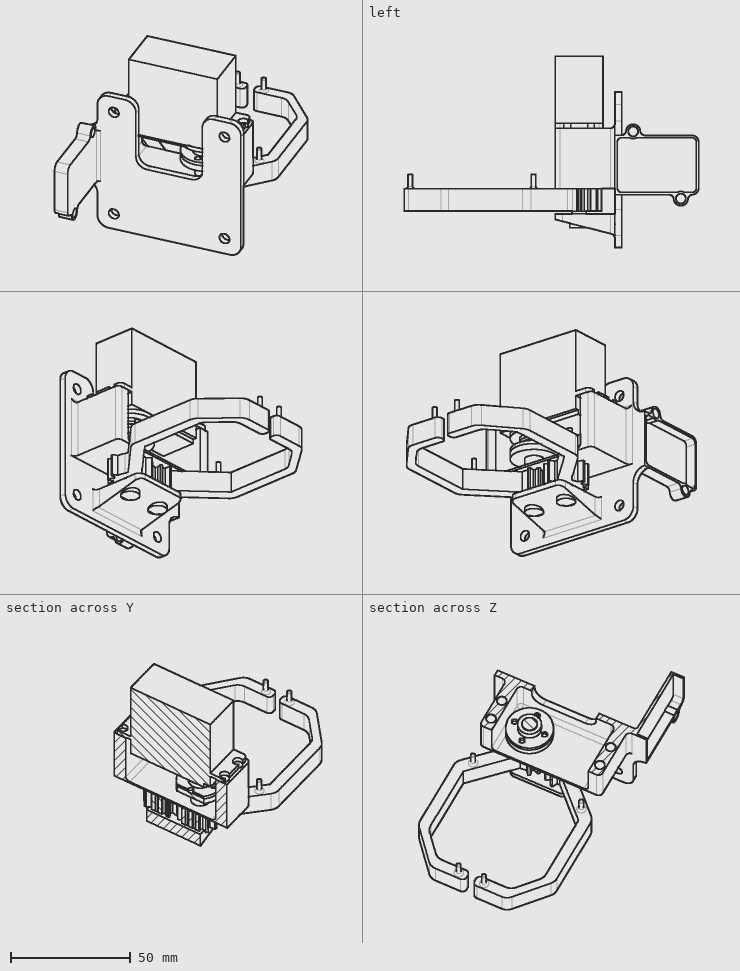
import cadquery as cq


PLATE_SIZE = 65.0
PLATE_THICK = 3.0
PLATE_ROUND = 5.0
NOTCH_WIDTH = 30.0
NOTCH_FLOOR_Z = 33.0
PLATE_HOLE_DIA = 4.5
PLATE_HOLE_PITCH = 50.0

TRAY_THICK = 6.0
TRAY_INNER_X = -PLATE_SIZE / 2
TRAY_OUTER_X = TRAY_INNER_X - TRAY_THICK
TRAY_LENGTH = 35.0
TRAY_BOTTOM_Z = 22.0
TRAY_HEIGHT = 24.8
TRAY_TOP_Z = TRAY_BOTTOM_Z + TRAY_HEIGHT
TRAY_WALL = 1.0
TRAY_FLOOR = 1.5
TRAY_ROUND = 3.0
TRAY_POCKET_ROUND = 2.0
TRAY_JOINT_FILLET = 1.2
EAR_DIA = 6.0
EAR_HOLE_DIA = 4.0
EAR_FILLET = 2.0
EAR_POINTS = [(-7.6, 48.5), (-27.5, 20.4)]

SERVO_CENTER_X = -1.5
HOUSING_WIDTH = 56.8
HOUSING_DEPTH = 25.0
HOUSING_BOTTOM_Z = 24.6
HOUSING_TOP_Z = 49.8
HOUSING_FLOOR = 1.0
HOUSING_FILLET = 2.0
POCKET_WIDTH = 45.0
LEDGE_WIDTH = 27.0
LEDGE_TOP_Z = 14.0
LEDGE_TIP_Z = 11.7
LEDGE_ROOT_Z = 5.3
LEDGE_ROUND = 3.0

SERVO_LENGTH = 40.1
SERVO_WIDTH = 20.0
SERVO_TOP_Z = 80.0
SERVO_BOTTOM_Z = 43.9
FLANGE_LENGTH = 53.9
FLANGE_THICK = 2.1
FLANGE_ROUND = 2.0
SCREW_HOLE_DIA = 4.0
SCREW_PITCH_X = 50.9
SCREW_PITCH_Y = 10.0
SCREW_HOLE_DEPTH = 10.0
GEARBOX_BOTTOM_Z = 42.0
GEARBOX_STEP_WIDTH = 16.7
COLLAR_DIA = 12.0
COLLAR_BOTTOM_Z = 40.3
SPINDLE_DIA = 6.5

HORN_DIA = 20.0
HORN_HUB_DIA = 10.0
HORN_HUB_TOP_Z = 39.7
HORN_TOP_Z = 36.8
HORN_BOTTOM_Z = 35.3
HORN_HOLE_COUNT = 4
HORN_HOLE_DIA = 2.5
HORN_HOLE_RADIUS = 7.0

ARM_BOTTOM_Z = 15.3
ARM_TOP_Z = HOUSING_BOTTOM_Z
ARM_TIP_Y = 88.0
ARM_TIP_X = 1.8
ARM_OUTER_X = 32.0
ARM_WIDTH = 5.0
ARM_INNER_X = ARM_OUTER_X - ARM_WIDTH
ARM_INNER_TIP_Y = ARM_TIP_Y - ARM_WIDTH
ARM_ROUND = 5.0
ARM_TIP_ROUND = 2.0
ARM_ROOT_FILLET = 2.0
SHOULDER_OUTER_X = 17.8
SHOULDER_OUTER_Y = 71.3
SHOULDER_INNER_X = 17.2
SHOULDER_INNER_Y = 71.6
ELBOW_OUTER_Y = 36.5
ELBOW_INNER_Y = 39.6
TOOTH_PITCH_ANGLE = 360 / 14
LEFT_TOOTH_COUNT = 11
RIGHT_TOOTH_COUNT = 10
GEAR_TIP_RADIUS = 9.5
GEAR_ROOT_RADIUS = 7.1
TOOTH_HALF_AT_TIP = 0.5
TOOTH_HALF_AT_ROOT = 1.1
PIVOT_X = 8.5
PIVOT_Y = 14.9
SOCKET_DEPTH = 3.7

POST_DIA = 2.0
POST_HEIGHT = 6.0
POST_FILLET = 1.0
POST_TIP_ROUND = 0.4
POST_POINTS = [(5.9, ARM_TIP_Y - ARM_WIDTH / 2), (25.3, 34.0)]

PIN_DIA = 6.0
PIN_HEAD_DIA = 8.0
PIN_HEAD_BOTTOM_Z = 8.2
PIN_HEAD_TOP_Z = 11.1
PIN_TOP_Z = ARM_BOTTOM_Z + SOCKET_DEPTH

COUPLER_DISC_BOTTOM_Z = 32.6
COUPLER_HUB_DIA = 8.0
COUPLER_BOTTOM_Z = ARM_TOP_Z - SOCKET_DEPTH


def cylinder(x, y, bottom, top, diameter):
    return cq.Workplane("XY", origin=(x, y, bottom)).circle(diameter / 2).extrude(top - bottom)


def slab(x_low, x_high, y_low, y_high, z_low, z_high):
    size = (x_high - x_low, y_high - y_low, z_high - z_low)
    return cq.Workplane("XY", origin=(x_low, y_low, z_low)).box(*size, centered=False)


def edges_near(solid, points):
    """Workplane that holds, for each point, the edge of the solid whose middle is nearest to it."""
    edges = [solid.edges(cq.selectors.NearestToPointSelector(point)).val() for point in points]
    return solid.newObject(edges)


def servo_screw_points():
    return [
        (SERVO_CENTER_X + x_side * SCREW_PITCH_X / 2, PIVOT_Y + y_side * SCREW_PITCH_Y / 2)
        for x_side in (-1, 1)
        for y_side in (-1, 1)
    ]


def mounting_plate():
    half = PLATE_SIZE / 2
    plate = slab(-half, half, -PLATE_THICK, 0, 0, PLATE_SIZE)
    notch = slab(-NOTCH_WIDTH / 2, NOTCH_WIDTH / 2, -PLATE_THICK, 0, NOTCH_FLOOR_Z, PLATE_SIZE)
    return plate.cut(notch).edges("|Y").fillet(PLATE_ROUND)


def tray_root():
    """Strip that widens the plate to the tray's outer face, with a concave sweep at each end."""
    sweep = TRAY_THICK
    overlap_x = TRAY_INNER_X + PLATE_ROUND
    return (
        cq.Workplane("XZ")
        .moveTo(TRAY_INNER_X, TRAY_BOTTOM_Z - sweep)
        .radiusArc((TRAY_OUTER_X, TRAY_BOTTOM_Z), -sweep)
        .lineTo(TRAY_OUTER_X, TRAY_TOP_Z)
        .radiusArc((TRAY_INNER_X, TRAY_TOP_Z + sweep), -sweep)
        .lineTo(overlap_x, TRAY_TOP_Z + sweep)
        .lineTo(overlap_x, TRAY_BOTTOM_Z - sweep)
        .close()
        .extrude(PLATE_THICK)
    )


def tray_cylinder(y, z, diameter):
    return cq.Workplane("YZ", origin=(TRAY_OUTER_X, y, z)).circle(diameter / 2).extrude(TRAY_THICK)


def tray_shell():
    body = slab(TRAY_OUTER_X, TRAY_INNER_X, -TRAY_LENGTH, 0, TRAY_BOTTOM_Z, TRAY_TOP_Z)
    body = body.edges("|X and <Y").fillet(TRAY_ROUND)
    reach = EAR_DIA / 2 + TRAY_WALL
    for y, z in EAR_POINTS:
        body = body.union(tray_cylinder(y, z, EAR_DIA))
        around_ear = cq.selectors.BoxSelector(
            (TRAY_OUTER_X, y - reach, z - reach),
            (TRAY_INNER_X, y + reach, z + reach),
        )
        body = body.edges("|X").edges(around_ear).fillet(EAR_FILLET)
    return body


def tray_pocket():
    """Space inside the tray, which goes around the ears and opens toward -X."""
    pocket = slab(
        TRAY_OUTER_X,
        TRAY_INNER_X - TRAY_FLOOR,
        TRAY_WALL - TRAY_LENGTH,
        -TRAY_WALL,
        TRAY_BOTTOM_Z + TRAY_WALL,
        TRAY_TOP_Z - TRAY_WALL,
    )
    pocket = pocket.edges("|X").fillet(TRAY_POCKET_ROUND)
    for y, z in EAR_POINTS:
        pocket = pocket.cut(tray_cylinder(y, z, EAR_DIA))
    return pocket


def add_tray(plate):
    body = plate.union(tray_root()).union(tray_shell())
    inner_corner = (TRAY_INNER_X, -PLATE_THICK, (TRAY_BOTTOM_Z + TRAY_TOP_Z) / 2)
    body = edges_near(body, [inner_corner]).fillet(TRAY_JOINT_FILLET)
    body = body.cut(tray_pocket())
    for y, z in EAR_POINTS:
        body = body.cut(tray_cylinder(y, z, EAR_HOLE_DIA))
    return body


def servo_housing():
    left = SERVO_CENTER_X - HOUSING_WIDTH / 2
    pocket_left = SERVO_CENTER_X - POCKET_WIDTH / 2
    block = slab(left, left + HOUSING_WIDTH, 0, HOUSING_DEPTH, HOUSING_BOTTOM_Z, HOUSING_TOP_Z)
    block = block.edges("|Z and >Y").fillet(HOUSING_FILLET)
    pocket = slab(
        pocket_left,
        pocket_left + POCKET_WIDTH,
        0,
        HOUSING_DEPTH,
        HOUSING_BOTTOM_Z + HOUSING_FLOOR,
        HOUSING_TOP_Z,
    )
    return block.cut(pocket.edges("|Y and <Z").fillet(HOUSING_FILLET))


def ledge():
    profile = [
        (0, LEDGE_TOP_Z),
        (HOUSING_DEPTH, LEDGE_TOP_Z),
        (HOUSING_DEPTH, LEDGE_TIP_Z),
        (0, LEDGE_ROOT_Z),
    ]
    shelf = cq.Workplane("YZ").polyline(profile).close().extrude(LEDGE_WIDTH / 2, both=True)
    return shelf.edges("|Z and >Y").fillet(LEDGE_ROUND)


def joint_edge_points():
    """A point on each edge where the housing and the ledge meet the back of the plate."""
    housing_mid_z = (HOUSING_BOTTOM_Z + HOUSING_TOP_Z) / 2
    wall_middle = (HOUSING_WIDTH + POCKET_WIDTH) / 4
    points = [(SERVO_CENTER_X, 0, HOUSING_BOTTOM_Z + HOUSING_FLOOR), (0, 0, LEDGE_ROOT_Z)]
    for side in (-1, 1):
        points += [
            (SERVO_CENTER_X + side * HOUSING_WIDTH / 2, 0, housing_mid_z),
            (SERVO_CENTER_X + side * POCKET_WIDTH / 2, 0, housing_mid_z),
            (SERVO_CENTER_X + side * wall_middle, 0, HOUSING_TOP_Z),
            (side * LEDGE_WIDTH / 2, 0, (LEDGE_TOP_Z + LEDGE_ROOT_Z) / 2),
        ]
    return points


def plate_holes():
    return (
        cq.Workplane("XZ", origin=(0, 0, PLATE_SIZE / 2))
        .rect(PLATE_HOLE_PITCH, PLATE_HOLE_PITCH, forConstruction=True)
        .vertices()
        .circle(PLATE_HOLE_DIA / 2)
        .extrude(PLATE_THICK)
    )


def make_bracket():
    body = mounting_plate().union(servo_housing()).union(ledge())
    body = edges_near(body, joint_edge_points()).fillet(HOUSING_FILLET)
    body = add_tray(body)
    for pin in pivot_pins():
        body = body.cut(pin)
    body = body.cut(cylinder(PIVOT_X, PIVOT_Y, HOUSING_BOTTOM_Z, NOTCH_FLOOR_Z, COUPLER_HUB_DIA))
    screw_hole_bottom = HOUSING_TOP_Z - SCREW_HOLE_DEPTH
    for x, y in servo_screw_points():
        body = body.cut(cylinder(x, y, screw_hole_bottom, HOUSING_TOP_Z, SCREW_HOLE_DIA))
    return body.cut(plate_holes())


def make_servo():
    left = SERVO_CENTER_X - SERVO_LENGTH / 2
    front = PIVOT_Y - SERVO_WIDTH / 2
    back = PIVOT_Y + SERVO_WIDTH / 2
    body = slab(left, left + SERVO_LENGTH, front, back, SERVO_BOTTOM_Z, SERVO_TOP_Z)
    flange_left = SERVO_CENTER_X - FLANGE_LENGTH / 2
    flange_top = HOUSING_TOP_Z + FLANGE_THICK
    flange = slab(flange_left, flange_left + FLANGE_LENGTH, front, back, HOUSING_TOP_Z, flange_top)
    body = body.union(flange.edges("|Z").fillet(FLANGE_ROUND))
    for x, y in servo_screw_points():
        body = body.cut(cylinder(x, y, HOUSING_TOP_Z, flange_top, SCREW_HOLE_DIA))
    step = GEARBOX_STEP_WIDTH / 2
    body = body.union(
        slab(left, PIVOT_X, PIVOT_Y - step, PIVOT_Y + step, GEARBOX_BOTTOM_Z, SERVO_BOTTOM_Z)
    )
    body = body.union(cylinder(PIVOT_X, PIVOT_Y, GEARBOX_BOTTOM_Z, SERVO_BOTTOM_Z, SERVO_WIDTH))
    body = body.union(cylinder(PIVOT_X, PIVOT_Y, COLLAR_BOTTOM_Z, GEARBOX_BOTTOM_Z, COLLAR_DIA))
    return body.union(cylinder(PIVOT_X, PIVOT_Y, HORN_HUB_TOP_Z, COLLAR_BOTTOM_Z, SPINDLE_DIA))


def make_horn():
    horn = cylinder(PIVOT_X, PIVOT_Y, HORN_BOTTOM_Z, HORN_TOP_Z, HORN_DIA)
    horn = horn.union(cylinder(PIVOT_X, PIVOT_Y, HORN_TOP_Z, HORN_HUB_TOP_Z, HORN_HUB_DIA))
    holes = (
        cq.Workplane("XY", origin=(PIVOT_X, PIVOT_Y, HORN_BOTTOM_Z))
        .polarArray(HORN_HOLE_RADIUS, 0, 360, HORN_HOLE_COUNT)
        .circle(HORN_HOLE_DIA / 2)
        .extrude(HORN_TOP_Z - HORN_BOTTOM_Z)
    )
    return horn.cut(holes)


def make_coupler():
    hub = cylinder(PIVOT_X, PIVOT_Y, COUPLER_BOTTOM_Z, COUPLER_DISC_BOTTOM_Z, COUPLER_HUB_DIA)
    return hub.union(cylinder(PIVOT_X, PIVOT_Y, COUPLER_DISC_BOTTOM_Z, HORN_BOTTOM_Z, HORN_DIA))


def make_pin(x):
    head = cylinder(x, PIVOT_Y, PIN_HEAD_BOTTOM_Z, PIN_HEAD_TOP_Z, PIN_HEAD_DIA)
    return head.union(cylinder(x, PIVOT_Y, PIN_HEAD_TOP_Z, PIN_TOP_Z, PIN_DIA))


def pivot_pins():
    return [make_pin(side * PIVOT_X) for side in (-1, 1)]


def gear_tooth(angle):
    """Tapered tooth of the right gear, at an angle from the +X direction."""
    inside = GEAR_ROOT_RADIUS - TOOTH_HALF_AT_ROOT
    profile = [
        (inside, -TOOTH_HALF_AT_ROOT),
        (GEAR_ROOT_RADIUS, -TOOTH_HALF_AT_ROOT),
        (GEAR_TIP_RADIUS, -TOOTH_HALF_AT_TIP),
        (GEAR_TIP_RADIUS, TOOTH_HALF_AT_TIP),
        (GEAR_ROOT_RADIUS, TOOTH_HALF_AT_ROOT),
        (inside, TOOTH_HALF_AT_ROOT),
    ]
    tooth = cq.Workplane("XY").polyline(profile).close().extrude(ARM_TOP_Z - ARM_BOTTOM_Z)
    return tooth.rotate((0, 0, 0), (0, 0, 1), angle).translate((PIVOT_X, PIVOT_Y, ARM_BOTTOM_Z))


def arm_bar():
    """Bent bar of the right arm, from its tip down to the gear, with a 45 degree lower stretch."""
    inner_tip = (ARM_TIP_X, ARM_INNER_TIP_Y)
    outer_tip = (ARM_TIP_X, ARM_TIP_Y)
    outer_bends = [
        (SHOULDER_OUTER_X, ARM_TIP_Y),
        (ARM_OUTER_X, SHOULDER_OUTER_Y),
        (ARM_OUTER_X, ELBOW_OUTER_Y),
    ]
    outer_root = (ARM_OUTER_X - (ELBOW_OUTER_Y - PIVOT_Y), PIVOT_Y)
    inner_root = (ARM_INNER_X - (ELBOW_INNER_Y - PIVOT_Y), PIVOT_Y)
    inner_elbow = (ARM_INNER_X, ELBOW_INNER_Y)
    inner_bends = [(ARM_INNER_X, SHOULDER_INNER_Y), (SHOULDER_INNER_X, ARM_INNER_TIP_Y)]
    outline = [outer_tip, *outer_bends, outer_root, inner_root, inner_elbow, *inner_bends, inner_tip]
    bar = cq.Workplane("XY", origin=(0, 0, ARM_BOTTOM_Z)).polyline(outline).close()
    bar = bar.extrude(ARM_TOP_Z - ARM_BOTTOM_Z)
    middle_z = (ARM_BOTTOM_Z + ARM_TOP_Z) / 2
    bends = [(x, y, middle_z) for x, y in outer_bends + inner_bends]
    tips = [(x, y, middle_z) for x, y in (inner_tip, outer_tip)]
    bar = edges_near(bar, bends).fillet(ARM_ROUND)
    return edges_near(bar, tips).fillet(ARM_TIP_ROUND)


def add_posts(arm):
    for x, y in POST_POINTS:
        post = cylinder(x, y, ARM_TOP_Z, ARM_TOP_Z + POST_HEIGHT, POST_DIA)
        arm = arm.union(post.faces(">Z").edges().fillet(POST_TIP_ROUND))
        arm = edges_near(arm, [(x, y, ARM_TOP_Z)]).fillet(POST_FILLET)
    return arm


def make_arm(first_tooth_angle, tooth_count):
    """Right arm; its teeth run clockwise from the first angle, leaving the bar side plain."""
    blank = cylinder(PIVOT_X, PIVOT_Y, ARM_BOTTOM_Z, ARM_TOP_Z, 2 * GEAR_ROOT_RADIUS)
    arm = arm_bar().union(blank)
    middle_z = (ARM_BOTTOM_Z + ARM_TOP_Z) / 2
    root_corner = (PIVOT_X + GEAR_ROOT_RADIUS, PIVOT_Y + GEAR_ROOT_RADIUS / 2, middle_z)
    arm = edges_near(arm, [root_corner]).fillet(ARM_ROOT_FILLET)
    for i in range(tooth_count):
        arm = arm.union(gear_tooth(first_tooth_angle - i * TOOTH_PITCH_ANGLE))
    return add_posts(arm).cut(make_pin(PIVOT_X))


def make_right_arm():
    """The half pitch turn puts a gap of this gear opposite a tooth of the left one."""
    return make_arm(-TOOTH_PITCH_ANGLE / 2, RIGHT_TOOTH_COUNT).cut(make_coupler())


def make_left_arm():
    return make_arm(0, LEFT_TOOTH_COUNT).mirror("YZ")


bracket = make_bracket()
servo = make_servo()
horn = make_horn()
coupler = make_coupler()
right_arm = make_right_arm()
left_arm = make_left_arm()
pins = pivot_pins()

result = cq.Compound.makeCompound(
    [
        bracket.val(),
        servo.val(),
        horn.val(),
        coupler.val(),
        right_arm.val(),
        left_arm.val(),
        *[pin.val() for pin in pins],
    ]
)